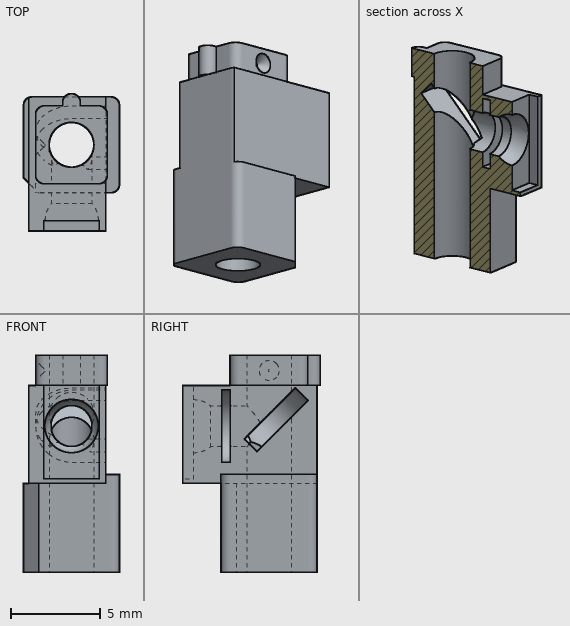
import cadquery as cq


body_width = 5.4
body_corner_radius = 0.5
body_chamfer = 0.85

left_ledge_z = 5.0
right_ledge_z = 5.5
head_top_z = 10.5
cap_top_z = 12.2

head_left_x = -2.4
head_right_x = 1.93
head_front_y = -4.84

cap_length_x = 4.04
cap_length_y = 4.38
cap_corner_radius = 0.5
key_width = 1.0
key_tip_y = 2.88

bore_diameter = 2.5

recess_width = 3.12
recess_depth = 0.59
recess_floor_z = 5.25

port_diameter = 2.3
port_z = 8.22
seat_diameter = 3.0

optic_slot_diameter = 4.05
filter_slot_front_y = -2.66
filter_slot_thickness = 0.5
filter_tilt = 0
mirror_tilt = 45
mirror_y = 0.76
mirror_slot_thickness = 1.0

dimple_diameter = 1.12
dimple_tip_diameter = 0.1
dimple_depth = (dimple_diameter - dimple_tip_diameter) / 2


def box_between(x_range, y_range, z_range):
    """Axis-aligned box spanning the given (low, high) ranges."""
    size = [high - low for low, high in (x_range, y_range, z_range)]
    corner = (x_range[0], y_range[0], z_range[0])
    return cq.Workplane("XY").box(*size, centered=False).translate(corner)


def make_body():
    """Square column with three rounded edges and one chamfered edge."""
    column = cq.Workplane("XY").rect(body_width, body_width).extrude(head_top_z)
    column = column.edges("|Z and (>Y or >X)").fillet(body_corner_radius)
    column = column.edges("|Z and <X and <Y").chamfer(body_chamfer)
    y_span = (-body_width, body_width)
    left_cut = box_between((-body_width, head_left_x), y_span, (left_ledge_z, cap_top_z))
    right_cut = box_between((head_right_x, body_width), y_span, (right_ledge_z, cap_top_z))
    return column.cut(left_cut).cut(right_cut)


def make_head_front():
    """Block that carries the head forward of the body."""
    return box_between((head_left_x, head_right_x), (head_front_y, 0), (left_ledge_z, head_top_z))


def make_cap():
    """Rounded cap with its round-nosed key."""
    cap_height = cap_top_z - head_top_z
    base = cq.Workplane("XY").workplane(offset=head_top_z)
    cap = base.rect(cap_length_x, cap_length_y).extrude(cap_height)
    cap = cap.edges("|Z").fillet(cap_corner_radius)
    nose_y = key_tip_y - key_width / 2
    nose = base.center(0, nose_y).circle(key_width / 2).extrude(cap_height)
    key_sides = (-key_width / 2, key_width / 2)
    key = box_between(key_sides, (0, nose_y), (head_top_z, cap_top_z))
    return cap.union(nose).union(key)


def make_bore():
    """Vertical bore through the full height."""
    return cq.Workplane("XY").circle(bore_diameter / 2).extrude(cap_top_z)


def make_recess():
    """Shallow pocket in the front face of the head."""
    x_span = (-recess_width / 2, recess_width / 2)
    y_span = (head_front_y, head_front_y + recess_depth)
    return box_between(x_span, y_span, (recess_floor_z, head_top_z))


def make_port():
    """Hole from the recess to the bore axis, with a hemispherical seat in its mouth."""
    mouth_y = head_front_y + recess_depth
    mouth = cq.Workplane("XZ", origin=(0, mouth_y, port_z))
    hole = mouth.circle(port_diameter / 2).extrude(mouth_y)
    seat = cq.Workplane("XZ").sphere(seat_diameter / 2).translate((0, mouth_y, port_z))
    return hole.union(seat)


def make_optic_slot(seat_y, tilt, thickness):
    """Slot whose flat seat crosses the port axis at seat_y, leaning back by tilt degrees.

    The slot is cut forward from the seat, rounded at its left end and open on the right.
    """
    radius = optic_slot_diameter / 2
    slot = cq.Workplane("XZ").circle(radius).extrude(thickness)
    slot = slot.union(box_between((0, body_width), (-thickness, 0), (-radius, radius)))
    return slot.rotate((0, 0, 0), (1, 0, 0), -tilt).translate((0, seat_y, port_z))


def make_dimple():
    """Tapered dimple at mid height of the cap."""
    cone = cq.Solid.makeCone(
        dimple_diameter / 2,
        dimple_tip_diameter / 2,
        dimple_depth,
        pnt=cq.Vector(-cap_length_x / 2, 0, (head_top_z + cap_top_z) / 2),
        dir=cq.Vector(1, 0, 0),
    )
    return cq.Workplane(cone)


filter_seat_y = filter_slot_front_y + filter_slot_thickness
result = make_body().union(make_head_front()).union(make_cap())
result = result.cut(make_bore()).cut(make_recess()).cut(make_port())
result = result.cut(make_optic_slot(filter_seat_y, filter_tilt, filter_slot_thickness))
result = result.cut(make_optic_slot(mirror_y, mirror_tilt, mirror_slot_thickness))
result = result.cut(make_dimple())